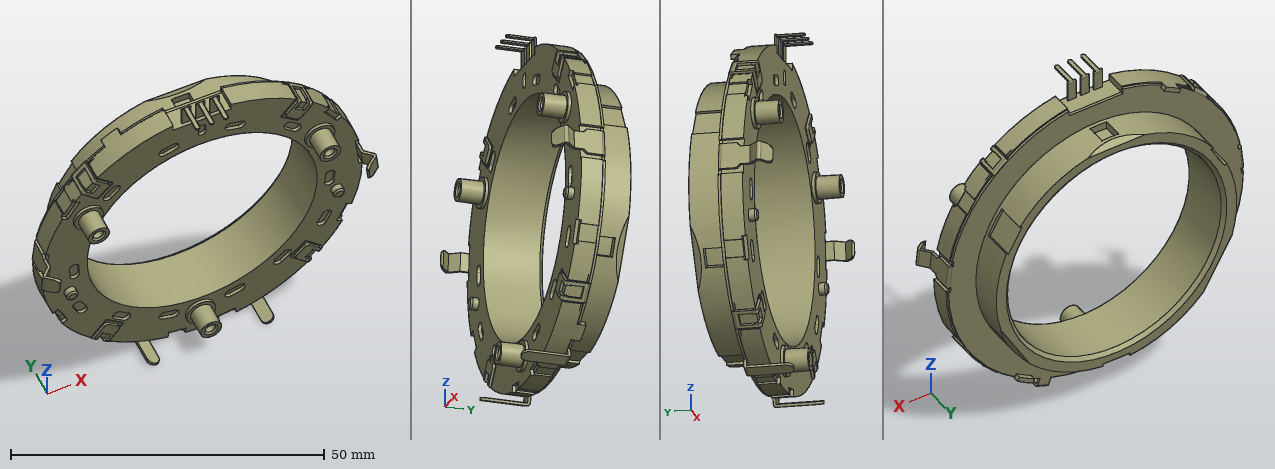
import cadquery as cq
import math


ring_radius = 28.15
bore_radius = 20.25
bore_chamfer = 0.65
sleeve_radius = 22.8
ring_thickness = 3.6
rear_y = 10.2

seat_half_width = 5.1
seat_z = 26.5

post_angles = (29, 149, 269)
post_circle_radius = 23.5
post_base_radius = 1.9
post_tip_radius = 1.85
post_length = 4.3
post_flange_radius = 2.55
post_flange_height = 0.55
post_hole_mouth_radius = 1.2
post_hole_radius = 0.9
post_hole_chamfer = post_hole_mouth_radius - post_hole_radius
post_hole_depth = 1.8
peg_angles = (194, 349)
peg_circle_radius = 24.0
peg_radius = 1.0
peg_length = 1.3
peg_chamfer = 0.3

slot_angles = (105, 135, 183, 231, 255)
slot_circle_radius = 22.5
offset_slot_angle = 207.5
offset_slot_circle_radius = 24.2
slot_length = 3.55
slot_width = 1.65
slot_depth = 0.6
top_slot_length = 2.55
top_slot_width = 1.3
top_slot_z = 23.8

side_notch_angles = (33.3, 146.7, 205, 335)
side_notch_width = 2.85
side_step_width = 3.9
bottom_notch_angles = (260.8, 279.2)
bottom_notch_width = 2.5
bottom_step_width = 3.1
notch_flat_radius = 27.8
notch_step_radius = 27.05
notch_step_depth = 0.6

lug_angles = (120, 300)
lug_width = 3.25
lug_inner_radius = 27.35
lug_rear_y = 5.1

sleeve_chamfer_angles = (90, 210, 330)
sleeve_chamfer_drop = 0.65
sleeve_chamfer_length = 1.25
pocket_width = 3.15
pocket_floor_radius = 21.4
pocket_front_y = 4.8
pocket_length = 3.55
sleeve_flat_angles = (30, 150, 270)
sleeve_flat_width = 5.1
sleeve_flat_radius = 22.2

sheet = 0.5
plate_radius = 27.9
plate_rear_y = ring_thickness + sheet
strip_root_radius = 26.6

clip_angles = (50, 135, 230, 315)
clip_offsets = (0, 0.25, 0, 0)
clip_width = 3.4
clip_face_radius = 28.15
clip_end_radius = 24.4
clip_corner_radius = 0.6
clip_seat_depth = 0.1
clip_seat_width = 3.85
clip_seat_inner_radius = 23.85
clip_seat_radius = clip_face_radius - sheet
clip_window_inner_radius = 26.4
clip_window_width = 2.15
clip_window_front_width = 1.9
clip_window_rear_y = 3.0
clip_window_step_y = 0.7
bend_relief_radius = 28.0
bend_relief_depth = 0.35
bend_relief_width = 11.85

spring_angles = (6.0, 174.0)
spring_seat_radius = 27.4
spring_seat_width = 6.0
spring_face_radius = 28.1
spring_root_width = 4.3
spring_width = 3.1
spring_taper_rear_y = 1.0
spring_bend_y = -1.2
spring_knee_radius = 29.8
spring_knee_y = -2.95
spring_tip_radius = 27.4
spring_tip_y = -4.8
spring_tip_corner = 0.9

leg_angles = (250, 290)
leg_width = 2.2
leg_tip_corner = 1.05
leg_face_radius = 29.65
tip_y = -3.95

pin_count = 3
pin_pitch = 2.5
pin_sheet = 0.3
pin_foot_width = 1.6
pin_prong_width = 0.75
pin_top_z = 30.2
pin_front_y = 0.6
pin_tip_chamfer = 0.25
pin_bend_radius = 0.25

far = 35.5


def placed(shape, angle):
    """Turn a shape built around the +X direction to the given angle about the Y axis."""
    return shape.rotate((0, 0, 0), (0, 1, 0), -angle)


def radial_box(inner, outer, y_from, y_to, width):
    """Box that spans two radii along +X, a Y range, and a width centred on Z = 0."""
    box = cq.Workplane("XY").box(outer - inner, y_to - y_from, width, centered=(False, False, True))
    return box.translate((inner, y_from, 0))


def y_cylinder(radius, y_from, y_to):
    """Cylinder along Y around the origin."""
    return cq.Workplane("XZ", origin=(0, y_from, 0)).circle(radius).extrude(y_from - y_to)


def bent_strip(path, width):
    """Sheet-metal strip whose outer face follows the path of (radius, Y) points, sheet on its right."""
    normals = []
    for (x0, y0), (x1, y1) in zip(path, path[1:]):
        length = math.hypot(x1 - x0, y1 - y0)
        normals.append(((y1 - y0) / length, (x0 - x1) / length))
    inner = []
    for (x, y), before, after in zip(path, normals[:1] + normals, normals + normals[-1:]):
        scale = sheet / (1 + before[0] * after[0] + before[1] * after[1])
        inner.append((x + scale * (before[0] + after[0]), y + scale * (before[1] + after[1])))
    return cq.Workplane("XY").polyline(list(path) + inner[::-1]).close().extrude(width / 2, both=True)


def rounded_bend(strip, corner):
    """Round the outer side of the bend whose (radius, Y) corner is given."""
    edge = cq.selectors.NearestToPointSelector((*corner, 0))
    return strip.edges("|Z").edges(edge).fillet(sheet)


def pin_seat_cut():
    """Everything above the flat seat of the pins."""
    box = cq.Workplane("XY").box(2 * seat_half_width, far, far, centered=(True, True, False))
    return box.translate((0, 0, seat_z))


def spring_seat_cut(angle):
    return placed(radial_box(spring_seat_radius, far, -far, plate_rear_y, spring_seat_width), angle)


def lug(angle):
    block = radial_box(lug_inner_radius, far, 0, lug_rear_y, lug_width)
    return placed(block.intersect(y_cylinder(ring_radius, 0, lug_rear_y)), angle)


def rim_notch(angle, width, step_width):
    flat = radial_box(notch_flat_radius, far, 0, ring_thickness, width)
    step = radial_box(notch_step_radius, far, 0, notch_step_depth, step_width)
    return placed(flat.union(step), angle)


def clip_seat(angle, offset):
    rim_flat = radial_box(clip_seat_radius, far, 0, ring_thickness, clip_seat_width)
    front_pocket = radial_box(clip_seat_inner_radius, far, 0, clip_seat_depth, clip_seat_width)
    relief_front_y = ring_thickness - bend_relief_depth
    relief = radial_box(bend_relief_radius, far, relief_front_y, ring_thickness, bend_relief_width)
    seat = rim_flat.union(front_pocket).translate((offset, 0, 0))
    return placed(seat.union(relief), angle)


def front_slot(radius, angle):
    slot = cq.Workplane("XZ", origin=(radius, slot_depth, 0)).slot2D(slot_length, slot_width, 90)
    return placed(slot.extrude(slot_depth), angle)


def top_slot():
    slot = cq.Workplane("XZ", origin=(0, slot_depth, top_slot_z)).slot2D(top_slot_length, top_slot_width, 90)
    return slot.extrude(slot_depth)


def post(angle):
    profile = [
        (0, 0),
        (post_flange_radius, 0),
        (post_flange_radius, -post_flange_height),
        (post_base_radius, -post_flange_height),
        (post_tip_radius, -post_length),
        (post_hole_mouth_radius, -post_length),
        (post_hole_radius, post_hole_chamfer - post_length),
        (post_hole_radius, post_hole_depth - post_length),
        (0, post_hole_depth - post_length),
    ]
    body = cq.Workplane("XY").polyline(profile).close().revolve(360, (0, 0, 0), (0, 1, 0))
    return placed(body.translate((post_circle_radius, 0, 0)), angle)


def peg(angle):
    body = y_cylinder(peg_radius, -peg_length, 0).faces("<Y").chamfer(peg_chamfer)
    return placed(body.translate((peg_circle_radius, 0, 0)), angle)


def sleeve_chamfer(angle):
    corner = [
        (sleeve_radius - sleeve_chamfer_drop, rear_y),
        (sleeve_radius, rear_y),
        (sleeve_radius, rear_y - sleeve_chamfer_length),
    ]
    return placed(cq.Workplane("XY").polyline(corner).close().extrude(sleeve_radius, both=True), angle)


def sleeve_pocket(angle):
    block = radial_box(0, far, pocket_front_y, pocket_front_y + pocket_length, pocket_width)
    return placed(block.cut(y_cylinder(pocket_floor_radius, 0, rear_y)), angle)


def sleeve_flat(angle):
    return placed(radial_box(sleeve_flat_radius, far, pocket_front_y, rear_y, sleeve_flat_width), angle)


def make_housing():
    body = y_cylinder(ring_radius, 0, ring_thickness).union(y_cylinder(sleeve_radius, 0, rear_y))
    body = body.cut(y_cylinder(bore_radius, 0, rear_y))
    body = body.faces(">Y").edges("%CIRCLE").edges(cq.selectors.RadiusNthSelector(0)).chamfer(bore_chamfer)
    body = body.cut(pin_seat_cut())
    for angle in lug_angles:
        body = body.union(lug(angle))
    for angle in sleeve_chamfer_angles:
        body = body.cut(sleeve_chamfer(angle)).cut(sleeve_pocket(angle))
    for angle in sleeve_flat_angles:
        body = body.cut(sleeve_flat(angle))
    for angle in side_notch_angles:
        body = body.cut(rim_notch(angle, side_notch_width, side_step_width))
    for angle in bottom_notch_angles:
        body = body.cut(rim_notch(angle, bottom_notch_width, bottom_step_width))
    for angle, offset in zip(clip_angles, clip_offsets):
        body = body.cut(clip_seat(angle, offset))
    for angle in spring_angles:
        body = body.cut(spring_seat_cut(angle))
    for angle in slot_angles:
        body = body.cut(front_slot(slot_circle_radius, angle))
        body = body.cut(front_slot(slot_circle_radius, 180 - angle))
    for angle in (offset_slot_angle, 180 - offset_slot_angle):
        body = body.cut(front_slot(offset_slot_circle_radius, angle))
    body = body.cut(top_slot())
    for angle in post_angles:
        body = body.union(post(angle))
    for angle in peg_angles:
        body = body.union(peg(angle))
    return body


def clip(angle, offset):
    front_y = clip_seat_depth - sheet
    path = [
        (strip_root_radius, plate_rear_y),
        (clip_face_radius, plate_rear_y),
        (clip_face_radius, front_y),
        (clip_end_radius, front_y),
    ]
    strip = rounded_bend(bent_strip(path, clip_width), path[1])
    strip = rounded_bend(strip, path[2])
    strip = strip.faces("<X").edges("|Y").fillet(clip_corner_radius)
    rim_window = radial_box(strip_root_radius, far, clip_window_step_y, clip_window_rear_y, clip_window_width)
    front_window = radial_box(clip_window_inner_radius, far, -far, clip_window_step_y, clip_window_front_width)
    strip = strip.cut(rim_window).cut(front_window)
    return placed(strip.translate((offset, 0, 0)), angle)


def spring(angle):
    path = [
        (strip_root_radius, plate_rear_y),
        (spring_face_radius, plate_rear_y),
        (spring_face_radius, spring_bend_y),
        (spring_knee_radius, spring_knee_y),
        (spring_tip_radius, spring_tip_y),
    ]
    taper = (spring_root_width - spring_width) / 2
    half_outline = [
        (plate_rear_y, spring_root_width / 2),
        (spring_taper_rear_y, spring_root_width / 2),
        (spring_taper_rear_y - taper, spring_width / 2),
        (spring_tip_y, spring_width / 2),
    ]
    outline = half_outline + [(y, -z) for y, z in reversed(half_outline)]
    blank = cq.Workplane("YZ").polyline(outline).close().extrude(far)
    blank = blank.faces("<Y").edges("|X").fillet(spring_tip_corner)
    strip = rounded_bend(bent_strip(path, spring_root_width), path[1])
    strip = rounded_bend(strip, path[3])
    return placed(strip.intersect(blank), angle)


def leg(angle):
    path = [
        (strip_root_radius, plate_rear_y),
        (leg_face_radius, plate_rear_y),
        (leg_face_radius, tip_y),
    ]
    strip = rounded_bend(bent_strip(path, leg_width), path[1])
    return placed(strip.faces("<Y").edges("|X").fillet(leg_tip_corner), angle)


def make_plate():
    body = y_cylinder(plate_radius, ring_thickness, plate_rear_y)
    body = body.cut(y_cylinder(sleeve_radius, ring_thickness, plate_rear_y)).cut(pin_seat_cut())
    for angle in lug_angles:
        body = body.cut(lug(angle))
    for angle, offset in zip(clip_angles, clip_offsets):
        body = body.union(clip(angle, offset))
    for angle in spring_angles:
        body = body.cut(spring_seat_cut(angle)).union(spring(angle))
    for angle in leg_angles:
        body = body.union(leg(angle))
    return body


def make_pin(x):
    foot_height = pin_top_z - seat_z
    prong_length = pin_front_y - tip_y
    foot = cq.Workplane("XY").box(pin_foot_width, pin_sheet, foot_height, centered=(True, False, False))
    foot = foot.translate((x, pin_front_y, seat_z))
    prong = cq.Workplane("XY").box(pin_prong_width, prong_length, pin_sheet, centered=(True, False, False))
    prong = prong.faces("<Y").edges("|Z").chamfer(pin_tip_chamfer)
    pin = foot.union(prong.translate((x, tip_y, pin_top_z - pin_sheet)))
    return pin.faces(">Z").edges(">Y").fillet(pin_bend_radius)


housing = make_housing()
plate = make_plate()
pins = [make_pin((i - (pin_count - 1) / 2) * pin_pitch) for i in range(pin_count)]
result = cq.Compound.makeCompound([body.solids().val() for body in (housing, plate, *pins)])